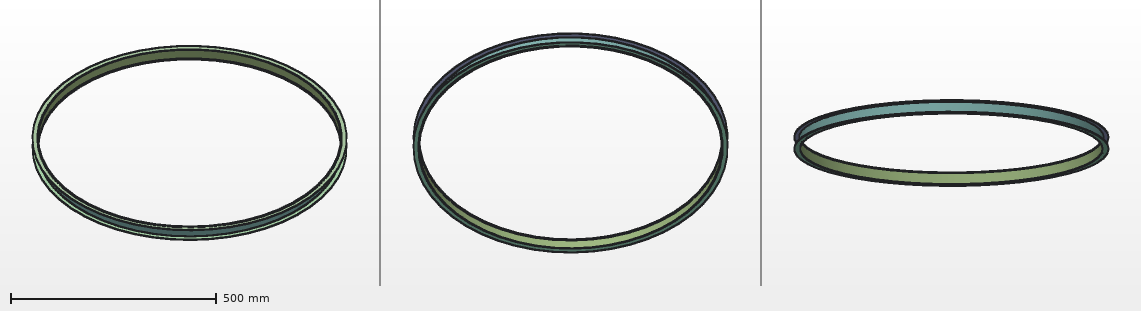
import cadquery as cq

outer_radius = 383.0
inner_radius = 368.0
height = 31.5
flange_thickness = 2.0
web_outer_radius = 371.5
web_inner_radius = 369.0


def ring(outer, inner, bottom, thickness):
    """Flat ring about Z, rising from the given bottom height."""
    return cq.Workplane("XY").workplane(offset=bottom).circle(outer).circle(inner).extrude(thickness)


web = ring(web_outer_radius, web_inner_radius, -height / 2, height)
lower_flange = ring(outer_radius, inner_radius, -height / 2, flange_thickness)
upper_flange = ring(outer_radius, inner_radius, height / 2 - flange_thickness, flange_thickness)

result = web.union(lower_flange).union(upper_flange)